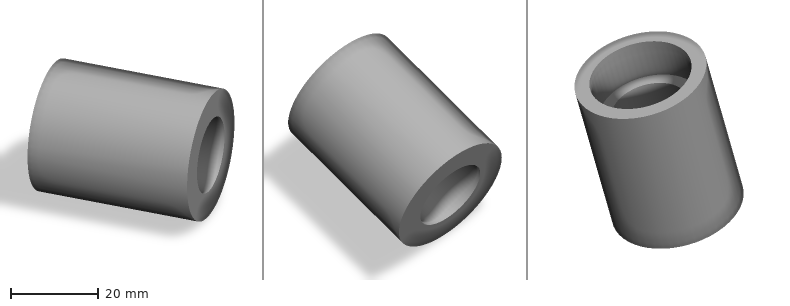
import cadquery as cq

length = 39.0
outer_diameter = 31.0
counterbore_diameter = 24.0
bore_diameter = 18.0
counterbore_depth = 10.0

left_end = -length / 2


def cylinder_from_left_end(diameter, extent):
    """Solid cylinder on the X axis, running from the -X end towards +X."""
    return cq.Workplane("YZ", origin=(left_end, 0, 0)).circle(diameter / 2).extrude(extent)


body = cylinder_from_left_end(outer_diameter, length)
bore = cylinder_from_left_end(bore_diameter, length)
counterbore = cylinder_from_left_end(counterbore_diameter, counterbore_depth)

result = body.cut(bore).cut(counterbore)